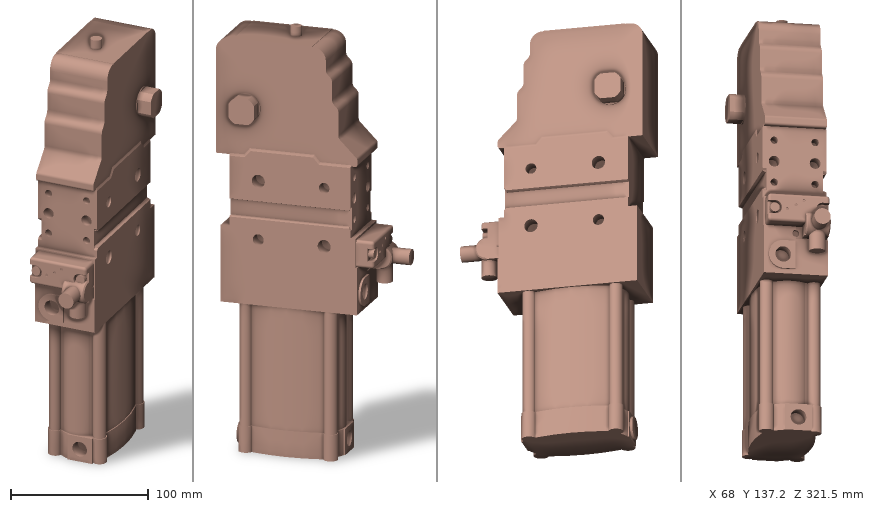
import cadquery as cq
import math


overall_height = 321.5
cap_top = 20.0
block_bottom = 113.5
block_top = 171.7
slot_floor = 145.5
plate_top = 227.0
raised_plate_top = 232.0
head_bottom = 226.0
head_top = 313.8

half_width = 23.63
head_half_width = 22.8
head_back = 53.7
head_front = -54.5
head_corner_radius = 9.3
neck_front = -30.5
first_step_z = 295.5
second_step_z = 273.0
slope_start_z = 246.5
step_depth = 4.8
step_fillet = 5.0
slope_fillet = 4.0
lip_fillet = 2.5
lip_bottom_fillet = 1.5
pad_front = -20.0
pad_back = 40.5
pad_height = 0.3
release_pin_diameter = 8.5

plate_back = 43.0
plate_front = -49.8
plate_rim_height = 2.0
raised_back = 32.0
raised_front = -26.5
raised_slope = 4.5
groove_low = 178.8
groove_high = 192.5
groove_draft = 1.0
groove_floor = 21.0
groove_end_chamfer = 1.5

shaft_y = 30.38
shaft_z = 262.83
shaft_diameter = 22.0
shaft_flats = 19.3
shaft_half_length = 34.0

drill_point_angle = 118.0
hole_depth = 9.5
side_holes = [
    (21.0, 207.7, 10.0),
    (-29.5, 207.7, 8.0),
    (21.0, 163.3, 8.5),
    (-29.5, 163.3, 10.0),
]
front_hole_x = 15.0
front_hole_middle_z = 199.5
front_hole_pitch = 15.9
front_thread_diameter = 5.5
front_dowel_diameter = 8.0

block_back = 49.8
block_front = -54.5
recess_depth = 1.0
recess_bottom = 140.2
vent_diameter = 5.0
vent_depth = 3.2
vent_z = 144.5
port_diameter = 11.5
port_depth = 9.5
upper_port_x = -9.5
upper_port_z = 127.5
port_boss_radius = 10.5
port_boss_height = 1.5
rod_x = 17.52
rod_y = 32.5
rod_radius = 4.8
end_arc_half_width = 10.77
end_arc_y = 34.0
end_arc_rise = 3.5
side_arc_half_width = 23.63
side_arc_x = 19.3
side_arc_rise = 3.0
cap_growth = 0.5
cap_end_arc_y = 35.5
cap_side_arc_half_width = 25.7
cap_pad_x = 4.8
cap_pad_width = 19.5
cap_pad_reach = 39.2
plug_diameter = 17.0
plug_reach = 41.0

sensor_half_width = 22.65
sensor_front = -67.2
sensor_bottom = 149.5
sensor_top = 170.0
sensor_side_fillet = 2.3
sensor_front_fillet = 2.0
screw_x = 17.7
screw_z = 159.8
screw_recess_diameter = 10.0
screw_recess_depth = 4.8
screw_head_diameter = 6.8
screw_head_height = 4.2
lamp_diameter = 2.3
lamp_depth = 0.5
lamps = [(-8.7, 158.8), (-2.4, 162.0), (3.38, 165.5)]
elbow_diameter = 17.0
elbow_left = 4.8
elbow_y = -63.0
elbow_z = 149.5
elbow_chamfer = 1.0
connector_diameter = 12.0
connector_x = 14.0
connector_front = -83.5
connector_bottom = 129.2


def box(x_range, y_range, z_range):
    """Axis-aligned block between the given limits."""
    sizes = [high - low for low, high in (x_range, y_range, z_range)]
    corner = (x_range[0], y_range[0], z_range[0])
    return cq.Workplane("XY").box(*sizes, centered=False).translate(corner)


def rod(start, direction, length, diameter):
    """Round bar from a start point along a direction."""
    solid = cq.Solid.makeCylinder(diameter / 2, length, cq.Vector(*start), cq.Vector(*direction))
    return cq.Workplane(obj=solid)


def blind_hole(mouth, direction, diameter):
    """Drilled hole with a conical bottom, as a solid to cut away."""
    point_length = diameter / 2 / math.tan(math.radians(drill_point_angle / 2))
    tip_start = [m + hole_depth * d for m, d in zip(mouth, direction)]
    tip = cq.Solid.makeCone(diameter / 2, 0, point_length, cq.Vector(*tip_start), cq.Vector(*direction))
    return rod(mouth, direction, hole_depth, diameter).union(cq.Workplane(obj=tip))


def extrude_across(points, half):
    """Prism with a (Y, Z) outline, symmetric about X = 0."""
    return cq.Workplane("YZ").polyline(points).close().extrude(half, both=True)


def round_corner(prism, y, z, radius):
    """Fillet the edge along X that passes through (Y, Z)."""
    reach = 0.15
    limits = cq.selectors.BoxSelector(
        (-half_width, y - reach, z - reach), (half_width, y + reach, z + reach)
    )
    return prism.edges("|X").edges(limits).fillet(radius)


def make_head():
    second_y = neck_front - step_depth
    third_y = second_y - step_depth
    slope_end_z = slope_start_z - (third_y - head_front)
    first_low_z = first_step_z - step_depth
    second_low_z = second_step_z - step_depth
    head = extrude_across(
        [
            (head_back, head_bottom),
            (head_back, head_top),
            (neck_front, head_top),
            (neck_front, first_step_z),
            (second_y, first_low_z),
            (second_y, second_step_z),
            (third_y, second_low_z),
            (third_y, slope_start_z),
            (head_front, slope_end_z),
            (head_front, head_bottom),
        ],
        head_half_width,
    )
    corners = [
        (head_back, head_top, head_corner_radius),
        (neck_front, head_top, head_corner_radius),
        (neck_front, first_step_z, step_fillet),
        (second_y, first_low_z, step_fillet),
        (second_y, second_step_z, step_fillet),
        (third_y, second_low_z, step_fillet),
        (third_y, slope_start_z, slope_fillet),
        (head_front, slope_end_z, lip_fillet),
        (head_front, head_bottom, lip_bottom_fillet),
    ]
    for y, z, radius in corners:
        head = round_corner(head, y, z, radius)
    pad = box(
        (-head_half_width, head_half_width),
        (pad_front, pad_back),
        (head_top - pad_height, head_top + pad_height),
    )
    pin = rod((0, 0, head_top), (0, 0, 1), overall_height - head_top, release_pin_diameter)
    return head.union(pad).union(pin)


def plate_outline(overhang):
    """(Y, Z) outline of the side plates, with the ends and the bottom moved out by an overhang."""
    front = plate_front - overhang
    back = plate_back + overhang
    bottom = slot_floor - overhang
    return [
        (front, bottom),
        (back, bottom),
        (back, plate_top),
        (raised_back, plate_top),
        (raised_back - raised_slope, raised_plate_top),
        (raised_front + raised_slope, raised_plate_top),
        (raised_front, plate_top),
        (front, plate_top),
    ]


def make_side_plates():
    """Lower body of the clamp, with a sloping rim along the top of each side face."""
    rim_width = half_width - head_half_width
    rim_angle = math.degrees(math.atan2(plate_rim_height, rim_width))
    plates = extrude_across(plate_outline(0), head_half_width)
    sheet = (
        cq.Workplane("YZ", origin=(head_half_width, 0, 0))
        .polyline(plate_outline(2 * plate_rim_height))
        .close()
        .extrude(rim_width, taper=rim_angle)
        .intersect(
            box((0, half_width), (plate_front, plate_back), (slot_floor, raised_plate_top))
        )
    )
    plates = plates.union(sheet).union(sheet.mirror("YZ"))
    for side in (-1, 1):
        x_range = sorted((side * groove_floor, side * half_width))
        groove = (
            cq.Workplane("XZ", origin=(0, plate_back, 0))
            .polyline(
                [
                    (side * half_width, groove_low),
                    (side * groove_floor, groove_low + groove_draft),
                    (side * groove_floor, groove_high - groove_draft),
                    (side * half_width, groove_high),
                ]
            )
            .close()
            .extrude(plate_back - plate_front)
        )
        flare = extrude_across(
            [
                (plate_front, groove_low - groove_end_chamfer),
                (plate_front + groove_end_chamfer, groove_low),
                (plate_front + groove_end_chamfer, groove_high),
                (plate_front, groove_high + groove_end_chamfer),
            ],
            2 * half_width,
        ).intersect(box(x_range, (plate_front, plate_back), (slot_floor, plate_top)))
        plates = plates.cut(groove).cut(flare)
    return plates


def make_shaft():
    length = 2 * shaft_half_length
    start = (-shaft_half_length, shaft_y, shaft_z)
    round_bar = rod(start, (1, 0, 0), length, shaft_diameter)
    square_bar = cq.Workplane("XY").box(length, shaft_flats, shaft_flats).translate((0, shaft_y, shaft_z))
    collar = rod((-half_width, shaft_y, shaft_z), (1, 0, 0), 2 * half_width, shaft_diameter)
    return round_bar.intersect(square_bar).union(collar)


def make_clamp():
    clamp = make_side_plates().union(make_head()).union(make_shaft())
    for y, z, diameter in side_holes:
        for side in (-1, 1):
            clamp = clamp.cut(blind_hole((side * half_width, y, z), (-side, 0, 0), diameter))
    for x in (-front_hole_x, front_hole_x):
        for row in (-1, 0, 1):
            diameter = front_dowel_diameter if row == 0 else front_thread_diameter
            z = front_hole_middle_z + row * front_hole_pitch
            clamp = clamp.cut(blind_hole((x, plate_front, z), (0, 1, 0), diameter))
    return clamp


def make_barrel(bottom, top, end_y, side_half_width, growth=0.0):
    """Oval barrel with a round tie-rod rib at each corner, between two levels."""
    height = top - bottom
    side_x = side_arc_x + growth
    base = cq.Workplane("XY").workplane(offset=bottom)
    barrel = (
        base
        .moveTo(-end_arc_half_width, -end_y)
        .threePointArc((0, -end_y - end_arc_rise), (end_arc_half_width, -end_y))
        .lineTo(rod_x, -rod_y)
        .lineTo(side_x, -side_half_width)
        .threePointArc((side_x + side_arc_rise, 0), (side_x, side_half_width))
        .lineTo(rod_x, rod_y)
        .lineTo(end_arc_half_width, end_y)
        .threePointArc((0, end_y + end_arc_rise), (-end_arc_half_width, end_y))
        .lineTo(-rod_x, rod_y)
        .lineTo(-side_x, side_half_width)
        .threePointArc((-side_x - side_arc_rise, 0), (-side_x, -side_half_width))
        .lineTo(-rod_x, -rod_y)
        .close()
        .extrude(height)
    )
    ribs = base.rect(2 * rod_x, 2 * rod_y, forConstruction=True).vertices()
    return barrel.union(ribs.circle(rod_radius + growth).extrude(height))


def make_end_cap():
    cap = make_barrel(0, cap_top, cap_end_arc_y, cap_side_arc_half_width, cap_growth)
    middle_z = cap_top / 2
    for side in (-1, 1):
        pad_center = -side * cap_pad_x
        x_range = (pad_center - cap_pad_width / 2, pad_center + cap_pad_width / 2)
        y_range = sorted((0, side * cap_pad_reach))
        cap = cap.union(box(x_range, y_range, (0, cap_top)))
    port = rod((cap_pad_x, -cap_pad_reach, middle_z), (0, 1, 0), port_depth, port_diameter)
    plug = rod((-cap_pad_x, 0, middle_z), (0, 1, 0), plug_reach, plug_diameter)
    return cap.cut(port).union(plug)


def make_port_boss():
    """D-shaped pad on the block front: round to the left, square to the right."""
    diameter = 2 * port_boss_radius
    thickness = port_boss_height + recess_depth
    front = block_front - port_boss_height
    disc = rod((upper_port_x, front, upper_port_z), (0, 1, 0), thickness, diameter)
    square = box(
        (upper_port_x, upper_port_x + port_boss_radius - port_boss_height),
        (front, front + thickness),
        (upper_port_z - port_boss_radius, upper_port_z + port_boss_radius),
    )
    right_half = box(
        (upper_port_x, half_width), (front, block_front), (block_bottom, block_top)
    )
    return disc.cut(right_half).union(square)


def make_block():
    width = (-half_width, half_width)
    recess = (block_front, block_front + recess_depth)
    block = box(width, (block_front, block_back), (block_bottom, block_top))
    block = block.cut(box(width, (plate_front, plate_back), (slot_floor, block_top)))
    block = block.cut(box(width, recess, (sensor_bottom, block_top)))
    block = block.cut(box((0, half_width), recess, (recess_bottom, sensor_bottom)))
    block = block.union(make_port_boss())
    port_mouth = (upper_port_x, block_front - port_boss_height, upper_port_z)
    block = block.cut(rod(port_mouth, (0, 1, 0), port_depth, port_diameter))
    return block.cut(rod((0, block_front, vent_z), (0, 1, 0), vent_depth, vent_diameter))


def make_cylinder():
    tube = make_barrel(cap_top, block_bottom, end_arc_y, side_arc_half_width)
    return make_block().union(tube).union(make_end_cap())


def make_sensor_case():
    width = (-sensor_half_width, sensor_half_width)
    depth = (sensor_front, block_front + recess_depth)
    case = box(width, depth, (sensor_bottom, sensor_top))
    case = case.edges("|Y").fillet(sensor_side_fillet)
    case = case.faces("<Y").edges().fillet(sensor_front_fillet)
    for side in (-1, 1):
        x = side * screw_x
        floor = sensor_front + screw_recess_depth
        recess = rod((x, sensor_front, screw_z), (0, 1, 0), screw_recess_depth, screw_recess_diameter)
        opening = box(
            sorted((x, side * sensor_half_width)),
            (sensor_front, floor),
            (screw_z - screw_recess_diameter / 2, screw_z + screw_recess_diameter / 2),
        )
        head = rod((x, floor, screw_z), (0, -1, 0), screw_head_height, screw_head_diameter)
        case = case.cut(recess).cut(opening).union(head)
    for x, z in lamps:
        case = case.cut(rod((x, sensor_front, z), (0, 1, 0), lamp_depth, lamp_diameter))
    return case


def make_connector_elbow():
    length = sensor_half_width - elbow_left
    radius = elbow_diameter / 2
    knuckle = rod((elbow_left, elbow_y, elbow_z), (1, 0, 0), length, elbow_diameter)
    knuckle = knuckle.faces("<X or >X").edges().chamfer(elbow_chamfer)
    foot = box(
        (elbow_left, sensor_half_width),
        (elbow_y, block_front + recess_depth),
        (elbow_z - radius, elbow_z),
    )
    center = (connector_x, elbow_y, elbow_z)
    forward = rod(center, (0, -1, 0), elbow_y - connector_front, connector_diameter)
    downward = rod(center, (0, 0, -1), elbow_z - connector_bottom, connector_diameter)
    return knuckle.union(foot).union(forward).union(downward)


def make_sensor():
    return make_sensor_case().union(make_connector_elbow())


clamp = make_clamp().solids().val()
cylinder = make_cylinder().solids().val()
sensor = make_sensor().solids().val()
result = cq.Compound.makeCompound([clamp, cylinder, sensor])